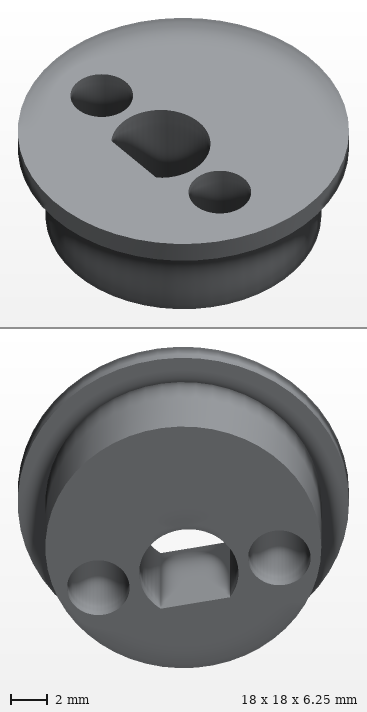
import cadquery as cq

flange_diameter = 18.0
body_diameter = 15.0
total_height = 6.25
flange_thickness = 1.25
body_height = total_height - flange_thickness

hole_row_y = -1.6
side_hole_diameter = 3.4
side_hole_spacing = 5.0
shaft_hole_diameter = 5.4
shaft_flat_distance = 1.9


def make_plug():
    """Round body with a wider flange on top; the base sits on Z = 0."""
    body = cq.Workplane("XY").circle(body_diameter / 2).extrude(body_height)
    flange = (
        cq.Workplane("XY")
        .workplane(offset=body_height)
        .circle(flange_diameter / 2)
        .extrude(flange_thickness)
    )
    return body.union(flange)


def make_round_cutter(x, diameter):
    """Full-height cylinder on the hole row."""
    return cq.Workplane("XY").center(x, hole_row_y).circle(diameter / 2).extrude(total_height)


def make_shaft_cutter():
    """D-shaped cutter with its flat facing -Y."""
    kept_depth = shaft_hole_diameter / 2 + shaft_flat_distance
    kept_side = (
        cq.Workplane("XY")
        .center(0, hole_row_y - shaft_flat_distance + kept_depth / 2)
        .rect(shaft_hole_diameter, kept_depth)
        .extrude(total_height)
    )
    return make_round_cutter(0, shaft_hole_diameter).intersect(kept_side)


result = make_plug().cut(make_shaft_cutter())
for side in (-1, 1):
    result = result.cut(make_round_cutter(side * side_hole_spacing, side_hole_diameter))